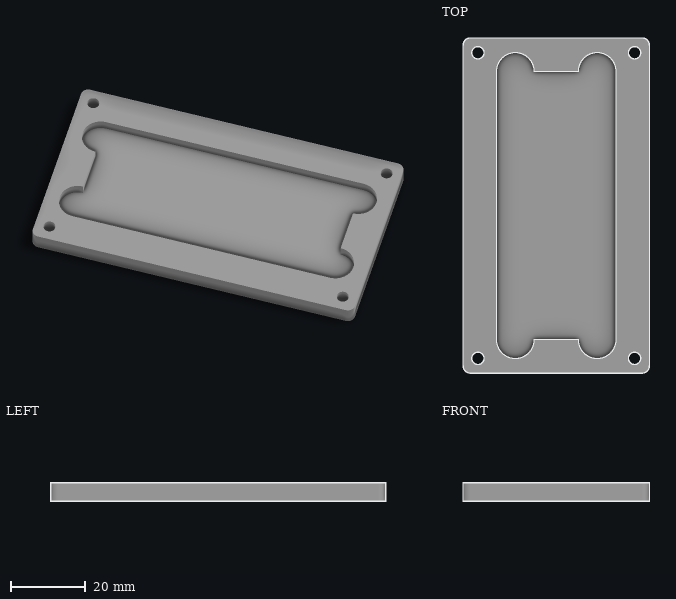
import cadquery as cq

length = 90.0
width = 50.0
thickness = 5.0
corner_radius = 2.0

hole_diameter = 3.2
hole_spacing_x = 42.0
hole_spacing_y = 82.0

pocket_width = 32.0
pocket_straight_length = 72.0
lobe_radius = 5.0
pocket_depth = 3.0

lobe_spacing_x = pocket_width - 2 * lobe_radius


def make_plate():
    """Flat plate with rounded vertical corners, its underside at Z = 0."""
    plate = cq.Workplane("XY").box(width, length, thickness, centered=(True, True, False))
    return plate.edges("|Z").fillet(corner_radius)


def make_pocket():
    """Pocket volume, open at the top face."""
    floor = cq.Workplane("XY").workplane(offset=thickness - pocket_depth)
    center = floor.rect(pocket_width, pocket_straight_length).extrude(pocket_depth)
    lobes = (
        floor.rect(lobe_spacing_x, pocket_straight_length, forConstruction=True)
        .vertices()
        .circle(lobe_radius)
        .extrude(pocket_depth)
    )
    return center.union(lobes)


def make_holes():
    """Four through holes, one near each plate corner."""
    return (
        cq.Workplane("XY")
        .rect(hole_spacing_x, hole_spacing_y, forConstruction=True)
        .vertices()
        .circle(hole_diameter / 2)
        .extrude(thickness)
    )


result = make_plate().cut(make_pocket()).cut(make_holes())